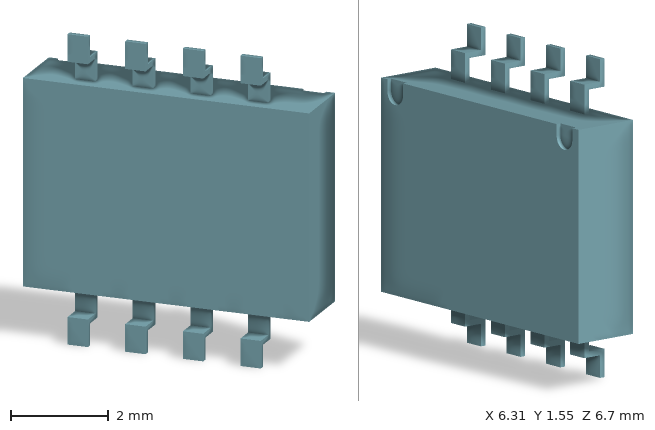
import cadquery as cq

body_width = 6.31
body_height = 4.5
body_depth = 1.45
standoff = 0.1
body_back = standoff + body_depth

leads_per_row = 4
lead_pitch = 1.27
lead_width = 0.45
lead_thickness = 0.12
lead_rise = 0.54
foot_length = 0.595
span_over_leads = 6.7
lead_embed = 0.2

notch_width = 0.5
notch_depth = 0.1
notch_side_margin = 0.2
notch_spacing = body_width - notch_width - 2 * notch_side_margin
notch_straight_length = notch_width / 2


def make_body():
    return cq.Workplane("XY").box(body_width, body_depth, body_height).translate(
        (0, standoff + body_depth / 2, 0)
    )


def cut_edge_notches(body):
    """Cut shallow straight-sided notches with rounded lower ends into the back face."""
    notch_floor = body_back - notch_depth
    top_edge = body_height / 2
    arc_start = top_edge - notch_straight_length
    radius = notch_width / 2
    for x in (-notch_spacing / 2, notch_spacing / 2):
        notch = (
            cq.Workplane("XZ", origin=(x, notch_floor, 0))
            .moveTo(-radius, top_edge)
            .lineTo(-radius, arc_start)
            .threePointArc((0, arc_start - radius), (radius, arc_start))
            .lineTo(radius, top_edge)
            .close()
            .extrude(-notch_depth)
        )
        body = body.cut(notch)
    return body


def make_upper_lead(x):
    """Lead leaving the body upwards, stepping to the mounting plane and ending in a flat foot."""
    root = body_height / 2 - lead_embed
    tip = span_over_leads / 2
    step_bottom = tip - foot_length
    step_top = step_bottom + lead_thickness
    profile = [
        (lead_rise, root),
        (lead_rise, step_top),
        (lead_thickness, step_top),
        (lead_thickness, tip),
        (0, tip),
        (0, step_bottom),
        (lead_rise - lead_thickness, step_bottom),
        (lead_rise - lead_thickness, root),
    ]
    strip = cq.Workplane("YZ").polyline(profile).close().extrude(lead_width / 2, both=True)
    return strip.translate((x, 0, 0))


def add_leads(body):
    for index in range(leads_per_row):
        x = (index - (leads_per_row - 1) / 2) * lead_pitch
        upper_lead = make_upper_lead(x)
        lower_lead = upper_lead.mirror("XY")
        body = body.union(upper_lead).union(lower_lead)
    return body


result = add_leads(cut_edge_notches(make_body()))